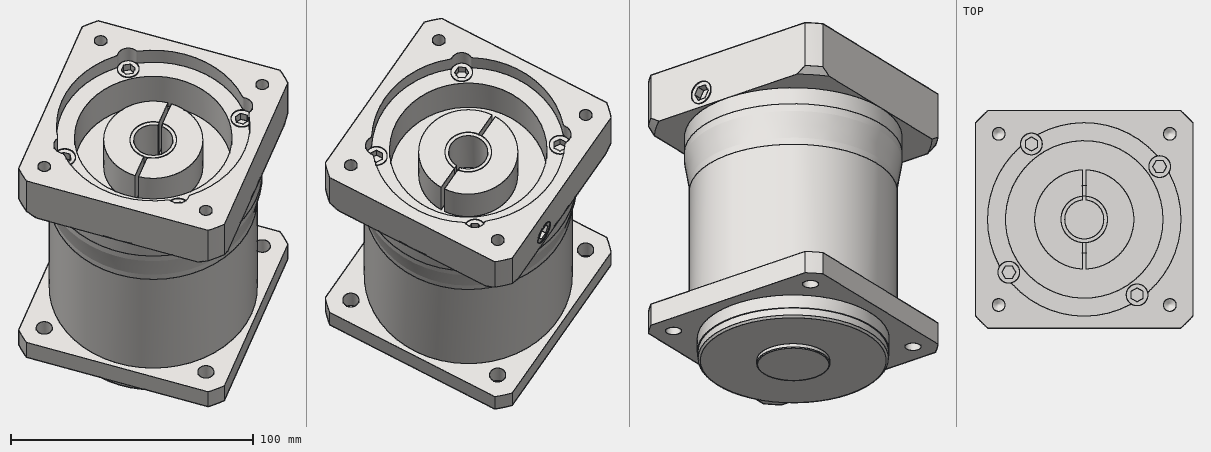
import cadquery as cq
import math

total_height = 128.0
flange_width = 90.0
corner_radius = 60.0
mount_hole_offset = 35.3

gear_flange_bottom = 11.9
gear_flange_top = 21.8
input_bottom = 80.1
cone_bottom = 83.1
cone_top = 94.5
adapter_bottom = 97.9
square_bottom = 105.3
pocket_floor = 101.0
ledge_height = 120.0

gear_radius = 43.0
pilot_radius = 39.7
pilot_bottom = 6.0
end_cap_radius = 39.3
end_cap_bottom = 1.9
end_cap_chamfer = 0.9
output_radius = 15.1
output_chamfer = 0.4
gear_mount_hole_diameter = 6.7

neck_radius = flange_width / 2
corner_cone_height = 2.7
rim_radius = 40.0
bore_radius = 32.5
motor_hole_diameter = 5.2
motor_hole_depth = 15.4
drill_angle = 118.0

screw_count = 4
screw_circle_radius = 38.0
screw_start_angle = math.radians(35.0)
first_screw = (
    screw_circle_radius * math.cos(screw_start_angle),
    screw_circle_radius * math.sin(screw_start_angle),
    0,
)
screw_head_radius = 4.5
screw_head_recess = 0.4
screw_socket_width = 5.0
screw_socket_depth = 3.8
relief_fillet = 1.3

plug_y = 14.0
plug_z = 112.1
plug_radius = 5.0
plug_recess = 0.4
plug_socket_width = 6.0
plug_socket_depth = 3.8

hub_radius = 20.5
hub_top = 118.7
journal_radius = 14.0
journal_bottom = 89.6
hub_bore_radius = 9.6
hub_bore_bottom = 93.5
slot_width = 1.5
slot_bottom = adapter_bottom
bushing_radius = 8.0
bushing_recess = 0.3
bushing_top = hub_top - bushing_recess


def cylinder(radius, bottom, top):
    return cq.Workplane("XY").workplane(offset=bottom).circle(radius).extrude(top - bottom)


def square_flange(bottom, top):
    """Square plate whose corners are cut off by a cylinder about the axis."""
    plate = cq.Workplane("XY").workplane(offset=bottom).rect(flange_width, flange_width)
    plate = plate.extrude(top - bottom)
    return plate.intersect(cylinder(corner_radius, bottom, top))


def mount_points(height):
    spacing = 2 * mount_hole_offset
    plane = cq.Workplane("XY").workplane(offset=height)
    return plane.rect(spacing, spacing, forConstruction=True).vertices()


def hexagon(plane, width_across_flats):
    return plane.polygon(6, width_across_flats / math.cos(math.pi / 6))


def make_gear_housing():
    """Ring gear barrel with the square output flange, pilot and output face."""
    barrel = cylinder(gear_radius, gear_flange_top, input_bottom)
    pilot = cylinder(pilot_radius, pilot_bottom, gear_flange_bottom)
    end_cap = cylinder(end_cap_radius, end_cap_bottom, pilot_bottom)
    end_cap = end_cap.faces("<Z").chamfer(end_cap_chamfer)
    output = cylinder(output_radius, 0, end_cap_bottom).faces("<Z").chamfer(output_chamfer)
    flange = square_flange(gear_flange_bottom, gear_flange_top)
    flange_height = gear_flange_top - gear_flange_bottom
    holes = mount_points(gear_flange_bottom).circle(gear_mount_hole_diameter / 2).extrude(flange_height)
    return flange.cut(holes).union(barrel).union(pilot).union(end_cap).union(output)


def make_input_housing():
    """Tapered ring with a spigot that centres the adapter and a bearing hole for the hub."""
    profile = [
        (0, input_bottom),
        (gear_radius, input_bottom),
        (gear_radius, cone_bottom),
        (neck_radius, cone_top),
        (neck_radius, adapter_bottom),
        (bore_radius, adapter_bottom),
        (bore_radius, pocket_floor),
        (0, pocket_floor),
    ]
    housing = cq.Workplane("XZ").polyline(profile).close().revolve(360, (0, 0), (0, 1))
    return housing.cut(cylinder(journal_radius, journal_bottom, pocket_floor))


def adapter_blank():
    """Square block with its lower corners coned off, on a round neck."""
    cone_start = square_bottom + corner_cone_height
    envelope = [
        (0, square_bottom),
        (corner_radius - corner_cone_height, square_bottom),
        (corner_radius, cone_start),
        (corner_radius, total_height),
        (0, total_height),
    ]
    turned = cq.Workplane("XZ").polyline(envelope).close().revolve(360, (0, 0), (0, 1))
    block = square_flange(square_bottom, total_height).intersect(turned)
    return block.union(cylinder(neck_radius, adapter_bottom, square_bottom))


def around_axis(shape):
    """The shape and its copies, turned about Z to every screw."""
    copies = cq.Workplane("XY")
    for index in range(screw_count):
        copies = copies.add(shape.rotate((0, 0, 0), (0, 0, 1), index * 360 / screw_count))
    return copies.combine()


def motor_pocket():
    """Round pocket whose wall is relieved, with rounded corners, beside every screw head."""
    relief = cylinder(screw_head_radius, ledge_height, total_height).translate(first_screw)
    pocket = cylinder(rim_radius, ledge_height, total_height).union(around_axis(relief))
    return pocket.edges("|Z").fillet(relief_fillet)


def motor_holes():
    """Blind holes with drilled tips for the motor's screws."""
    radius = motor_hole_diameter / 2
    tip = radius / math.tan(math.radians(drill_angle / 2))
    drill = (
        cq.Workplane("XZ")
        .polyline([(0, 0), (radius, 0), (radius, -motor_hole_depth), (0, -motor_hole_depth - tip)])
        .close()
        .revolve(360, (0, 0), (0, 1))
        .val()
    )
    return mount_points(total_height).eachpoint(lambda place: drill.moved(place), combine=False)


def screw_heads():
    """Sunk heads and hexagon sockets of the screws in the ledge."""
    plane = cq.Workplane("XY").workplane(offset=ledge_height)
    recess = plane.circle(screw_head_radius).extrude(-screw_head_recess)
    socket = hexagon(plane, screw_socket_width).extrude(-screw_head_recess - screw_socket_depth)
    return around_axis(recess.union(socket).translate(first_screw))


def access_plug():
    """Recess and hexagon socket of the plug in the -X flat."""
    plane = cq.Workplane("YZ", origin=(-flange_width / 2, plug_y, plug_z))
    recess = plane.circle(plug_radius).extrude(plug_recess)
    return recess.union(hexagon(plane, plug_socket_width).extrude(plug_recess + plug_socket_depth))


def make_adapter():
    adapter = adapter_blank().cut(cylinder(bore_radius, adapter_bottom, ledge_height))
    return adapter.cut(motor_pocket()).cut(motor_holes()).cut(screw_heads()).cut(access_plug())


def make_hub():
    """Clamp collar on a journal, slotted along Y through the collar and into the journal."""
    collar = cylinder(hub_radius, pocket_floor, hub_top)
    hub = collar.union(cylinder(journal_radius, journal_bottom, pocket_floor))
    slot = (
        cq.Workplane("XY")
        .workplane(offset=slot_bottom)
        .rect(slot_width, 2 * hub_radius)
        .extrude(hub_top - slot_bottom)
    )
    return hub.cut(slot).cut(cylinder(hub_bore_radius, hub_bore_bottom, hub_top))


def make_bushing():
    """Sleeve that reduces the hub bore, slit on its +Y side."""
    sleeve = cylinder(hub_bore_radius, hub_bore_bottom, bushing_top)
    sleeve = sleeve.cut(cylinder(bushing_radius, hub_bore_bottom, bushing_top))
    slit = (
        cq.Workplane("XY")
        .workplane(offset=hub_bore_bottom)
        .center(0, hub_bore_radius / 2)
        .rect(slot_width, hub_bore_radius)
        .extrude(bushing_top - hub_bore_bottom)
    )
    return sleeve.cut(slit)


gear_housing = make_gear_housing()
input_housing = make_input_housing()
adapter = make_adapter()
hub = make_hub()
bushing = make_bushing()

result = cq.Compound.makeCompound(
    [gear_housing.val(), input_housing.val(), adapter.val(), hub.val(), bushing.val()]
)